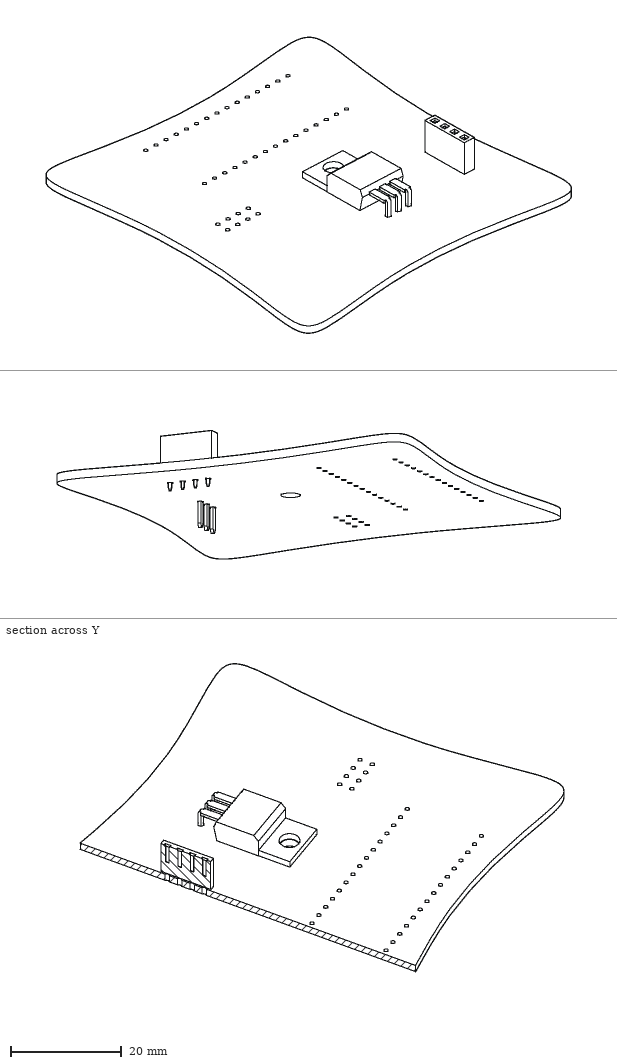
import cadquery as cq
import math

OVERLAP = 0.1

board_thickness = 1.6
outline_joints = [
    (-33.905, -18.30, 81.0, 18.0, 9.65),
    (-33.38, 15.40, 98.16, 13.2, 21.25),
    (-19.40, 32.64, -8.44, 18.95, 11.0),
    (15.67, 31.88, 7.0, 12.2, 22.42),
]

pin_pitch = 2.54

module_hole_diameter = 0.76
module_row_holes = 15
module_row_spacing = 15.24
module_row_center = (-20.2, 3.8)

radio_hole_diameter = 0.8
radio_columns = 2
radio_rows = 4
radio_center = (0.08, -17.78)

header_pins = 4
header_center = (12.83, 22.89)
header_length = header_pins * pin_pitch + 0.1
header_width = 2.54
header_standoff = 0.2
header_top = 7.0
header_hole_diameter = 1.0
socket_mouth = 1.2
socket_throat = 0.64
socket_funnel_depth = 0.28
socket_depth = 4.0
header_pin_width = 0.64
header_pin_thickness = 0.2
header_pin_tip_width = 0.3
header_pin_tip_length = 0.6
header_pin_reach = 1.4

tab_left = -1.68
regulator_center_y = 5.09
tab_width = 10.1
tab_thickness = 1.3
tab_hole_diameter = 3.73
mounting_hole_diameter = 3.5
mounting_hole_x = 1.15

case_width = 10.2
case_height = 4.5
case_left = 4.75
case_front_height = 3.48
case_top_left = 5.7
case_top_right = 13.4
case_right = 13.95
case_bottom_right = 13.3

lead_count = 3
lead_hole_diameter = 1.1
lead_x = 18.0
lead_thickness = 0.6
lead_bend_radius = 0.5
lead_top = 3.4
lead_shoulder_width = 1.5
lead_width = 0.9
lead_tip_width = 0.25
lead_tip_length = 0.7
lead_bottom = -6.33


def row_offsets(count):
    """Positions of a row of pins at the standard pitch, centred on zero."""
    return [(i - (count - 1) / 2) * pin_pitch for i in range(count)]


def grid(center, x_offsets, y_offsets):
    return [(center[0] + dx, center[1] + dy) for dx in x_offsets for dy in y_offsets]


module_points = grid(
    module_row_center, (-module_row_spacing / 2, module_row_spacing / 2), row_offsets(module_row_holes)
)
radio_points = grid(radio_center, row_offsets(radio_columns), row_offsets(radio_rows))
header_points = grid(header_center, row_offsets(header_pins), (0,))
lead_points = grid((lead_x, regulator_center_y), (0,), row_offsets(lead_count))
mounting_points = [(mounting_hole_x, regulator_center_y)]


def ahead(joint, distance):
    """Point at a distance along the travel direction of an outline joint."""
    x, y, direction = joint[:3]
    angle = math.radians(direction)
    return (x + distance * math.cos(angle), y + distance * math.sin(angle))


def make_board():
    turned = [(-x, -y, direction + 180, before, after) for x, y, direction, before, after in outline_joints]
    joints = outline_joints + turned
    outline = cq.Workplane("XY").moveTo(*joints[0][:2])
    for start, end in zip(joints, joints[1:] + joints[:1]):
        outline = outline.bezier(
            [ahead(start, start[4]), ahead(end, -end[3]), end[:2]], includeCurrent=True
        )
    board = outline.close().extrude(-board_thickness)
    for points, diameter in (
        (module_points, module_hole_diameter),
        (radio_points, radio_hole_diameter),
        (header_points, header_hole_diameter),
        (lead_points, lead_hole_diameter),
        (mounting_points, mounting_hole_diameter),
    ):
        holes = cq.Workplane("XY").pushPoints(points).circle(diameter / 2).extrude(-board_thickness)
        board = board.cut(holes)
    return board


def pointed_pin(width, top, bottom, tip_width, tip_length):
    """Outline of a flat pin along the vertical axis that tapers to a blunt tip."""
    half = width / 2
    tip = tip_width / 2
    taper_start = bottom + tip_length
    return [
        (-half, top),
        (-half, taper_start),
        (-tip, bottom),
        (tip, bottom),
        (half, taper_start),
        (half, top),
    ]


def make_header():
    header = (
        cq.Workplane("XY", origin=(*header_center, header_standoff))
        .rect(header_length, header_width)
        .extrude(header_top - header_standoff)
    )
    pin_bottom = -board_thickness - header_pin_reach
    pin_outline = pointed_pin(
        header_pin_width, header_standoff + OVERLAP, pin_bottom, header_pin_tip_width, header_pin_tip_length
    )
    for x, y in header_points:
        mouth = cq.Workplane("XY", origin=(x, y, header_top))
        funnel = (
            mouth.rect(socket_mouth, socket_mouth)
            .workplane(offset=-socket_funnel_depth)
            .rect(socket_throat, socket_throat)
            .loft()
        )
        shaft = mouth.rect(socket_throat, socket_throat).extrude(-socket_depth)
        pin = (
            cq.Workplane("XZ", origin=(x, y, 0))
            .polyline(pin_outline)
            .close()
            .extrude(header_pin_thickness / 2, both=True)
        )
        header = header.cut(funnel).cut(shaft).union(pin)
    return header


def make_lead(y):
    """Wide shoulder running out of the case, bent down into a narrow pointed leg."""
    outer = lead_x + lead_thickness / 2
    inner = lead_x - lead_thickness / 2
    shoulder_start = case_top_right - OVERLAP
    lead_underside = lead_top - lead_thickness
    shoulder = cq.Workplane("XY").box(
        inner - shoulder_start, lead_shoulder_width, lead_thickness, centered=(False, True, False)
    ).translate((shoulder_start, y, lead_underside))
    bend = (
        cq.Workplane("XZ", origin=(0, y, 0))
        .moveTo(inner - OVERLAP, lead_top)
        .lineTo(outer - lead_bend_radius, lead_top)
        .radiusArc((outer, lead_top - lead_bend_radius), lead_bend_radius)
        .lineTo(outer, lead_underside)
        .lineTo(inner - OVERLAP, lead_underside)
        .close()
        .extrude(lead_width / 2, both=True)
    )
    leg_outline = pointed_pin(lead_width, lead_underside, lead_bottom, lead_tip_width, lead_tip_length)
    leg = (
        cq.Workplane("YZ", origin=(lead_x, y, 0))
        .polyline(leg_outline)
        .close()
        .extrude(lead_thickness / 2, both=True)
    )
    return shoulder.union(bend).union(leg)


def make_regulator():
    case = (
        cq.Workplane("XZ", origin=(0, regulator_center_y, 0))
        .polyline([
            (case_left, 0),
            (case_left, case_front_height),
            (case_top_left, case_height),
            (case_top_right, case_height),
            (case_right, lead_top - lead_thickness / 2),
            (case_bottom_right, 0),
        ])
        .close()
        .extrude(case_width / 2, both=True)
    )
    tab_length = case_left + OVERLAP - tab_left
    tab = (
        cq.Workplane("XY")
        .box(tab_length, tab_width, tab_thickness, centered=(False, True, False))
        .translate((tab_left, regulator_center_y, 0))
    )
    tab_hole = (
        cq.Workplane("XY").pushPoints(mounting_points).circle(tab_hole_diameter / 2).extrude(tab_thickness)
    )
    regulator = case.union(tab).cut(tab_hole)
    for _, y in lead_points:
        regulator = regulator.union(make_lead(y))
    return regulator


board = make_board()
header = make_header()
regulator = make_regulator()

result = cq.Compound.makeCompound([board.val(), header.val(), regulator.val()])